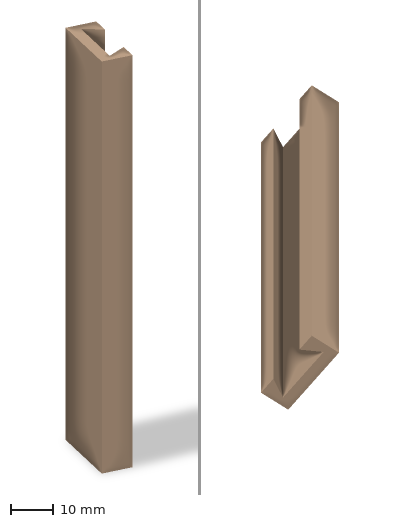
import cadquery as cq

width = 20.0
thickness = 8.0
length = 108.0

slot_depth = 5.0
slot_mouth_width = 10.3
slot_floor_width = 16.0

slot_floor_y = thickness / 2 - slot_depth

rail = cq.Workplane("XY").box(width, thickness, length)

slot = (
    cq.Workplane("XY")
    .polyline([
        (-slot_mouth_width / 2, thickness / 2),
        (slot_mouth_width / 2, thickness / 2),
        (slot_floor_width / 2, slot_floor_y),
        (-slot_floor_width / 2, slot_floor_y),
    ])
    .close()
    .extrude(length / 2, both=True)
)

result = rail.cut(slot)